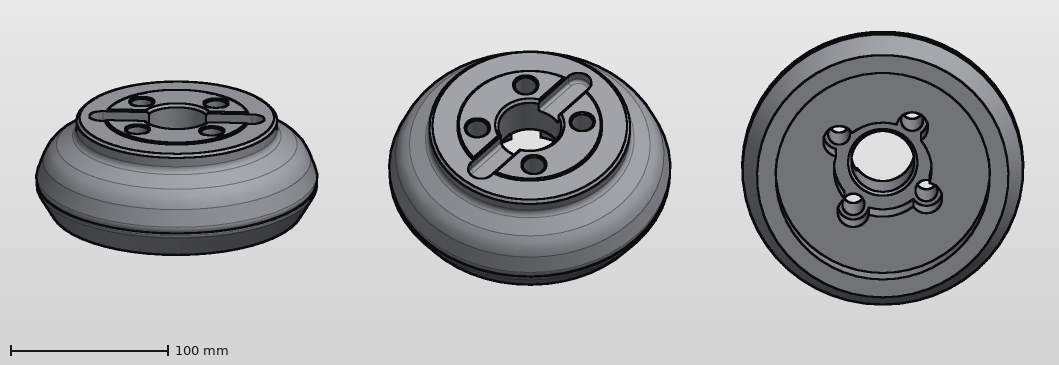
import cadquery as cq
import math


top_z = 63.0
shoulder_z = 62.0
pad_radius = 46.0
pad_chamfer = top_z - shoulder_z
neck_radius = 127.5 / 2
neck_chamfer = 2.0
neck_bottom_z = 53.9
neck_fillet = 5.0
flare_slope = math.radians(30)
shoulder_round = 20.0
side_slope = math.radians(20)
nose_radius = 5.0
nose_z = 21.0
rim_radius = 178.65 / 2

seam_z = 18.3
spigot_radius = 68.0
spigot_bottom_z = 15.5

ring_radius = 89.1
crown_radius = 2.6
crown_z = 16.5
crown_slope = math.radians(11)
ring_taper = math.radians(30)
ring_chamfer = 0.5

bore_radius = 20.0
bore_chamfer = 2.0
recess_radius = 31.0
recess_roof_z = 33.2

bolt_count = 4
bolt_circle_radius = 33.4
bolt_hole_radius = 14.0 / 2
bolt_hole_chamfer = 1.0
bolt_counterbore_radius = 20.0 / 2

slot_angle = 22.5
slot_width = 16.5
slot_end_distance = 47.4
slot_floor_z = 54.0
slot_floor_fillet = 2.0
slot_chamfer = 1.0

first_bolt_angle = slot_angle + 180 / bolt_count


def on_circle(centre, radius, angle):
    """Point on a circle in the (radius, height) plane."""
    return (centre[0] + radius * math.cos(angle), centre[1] + radius * math.sin(angle))


def revolve_profile(profile):
    """Turn a closed profile, drawn as radius and height, about the Z axis."""
    return profile.close().revolve(360, (0, 0), (0, 1))


def turn_about_axis(shape, angle):
    return shape.rotate((0, 0, 0), (0, 0, 1), angle)


def make_hub_blank():
    flare_normal = math.pi / 2 - flare_slope
    fillet_centre = (neck_radius + neck_fillet, neck_bottom_z)
    fillet_mid = on_circle(fillet_centre, neck_fillet, math.pi + flare_normal / 2)
    flare_start = on_circle(fillet_centre, neck_fillet, math.pi + flare_normal)

    nose_centre = (rim_radius - nose_radius, nose_z)
    nose_start = on_circle(nose_centre, nose_radius, side_slope)
    nose_mid = on_circle(nose_centre, nose_radius, 0)
    nose_end = on_circle(nose_centre, nose_radius, -math.asin((nose_z - seam_z) / nose_radius))

    flare_fall = math.tan(flare_slope)
    side_fall = 1 / math.tan(side_slope)
    flare_axis_z = flare_start[1] + flare_fall * flare_start[0]
    side_axis_z = nose_start[1] + side_fall * nose_start[0]
    corner_radius = (side_axis_z - flare_axis_z) / (side_fall - flare_fall)
    corner_z = flare_axis_z - flare_fall * corner_radius
    tangent_length = shoulder_round * math.tan((flare_normal - side_slope) / 2)
    round_start = on_circle((corner_radius, corner_z), tangent_length, math.pi - flare_slope)
    round_centre = on_circle(round_start, -shoulder_round, flare_normal)
    round_mid = on_circle(round_centre, shoulder_round, (flare_normal + side_slope) / 2)
    round_end = on_circle(round_centre, shoulder_round, side_slope)

    return revolve_profile(
        cq.Workplane("XZ")
        .moveTo(0, spigot_bottom_z)
        .lineTo(0, top_z)
        .lineTo(pad_radius - pad_chamfer, top_z)
        .lineTo(pad_radius, shoulder_z)
        .lineTo(neck_radius - neck_chamfer, shoulder_z)
        .lineTo(neck_radius, shoulder_z - neck_chamfer)
        .lineTo(neck_radius, neck_bottom_z)
        .threePointArc(fillet_mid, flare_start)
        .lineTo(*round_start)
        .threePointArc(round_mid, round_end)
        .lineTo(*nose_start)
        .threePointArc(nose_mid, nose_end)
        .lineTo(spigot_radius, seam_z)
        .lineTo(spigot_radius, spigot_bottom_z)
    )


def make_bore_cutter():
    return revolve_profile(
        cq.Workplane("XZ")
        .moveTo(0, spigot_bottom_z)
        .lineTo(recess_radius, spigot_bottom_z)
        .lineTo(recess_radius, recess_roof_z)
        .lineTo(bore_radius + bore_chamfer, recess_roof_z)
        .lineTo(bore_radius, recess_roof_z + bore_chamfer)
        .lineTo(bore_radius, top_z - bore_chamfer)
        .lineTo(bore_radius + bore_chamfer, top_z)
        .lineTo(0, top_z)
    )


def make_bolt_cutter(angle):
    """Chamfered bolt hole, counterbored from below up to the roof of the recess."""
    cutter = revolve_profile(
        cq.Workplane("XZ")
        .moveTo(0, spigot_bottom_z)
        .lineTo(bolt_counterbore_radius, spigot_bottom_z)
        .lineTo(bolt_counterbore_radius, recess_roof_z)
        .lineTo(bolt_hole_radius, recess_roof_z)
        .lineTo(bolt_hole_radius, top_z - bolt_hole_chamfer)
        .lineTo(bolt_hole_radius + bolt_hole_chamfer, top_z)
        .lineTo(0, top_z)
    )
    return turn_about_axis(cutter.translate((bolt_circle_radius, 0, 0)), angle)


def make_slot_cutter():
    """Round-ended slot across the top, filleted at the floor and chamfered along its mouth."""
    slot = (
        cq.Workplane("XY", origin=(0, 0, slot_floor_z))
        .slot2D(2 * slot_end_distance + slot_width, slot_width)
        .extrude(top_z - slot_floor_z)
        .faces("<Z")
        .edges()
        .fillet(slot_floor_fillet)
    )
    half_width = slot_width / 2
    chamfered_mouth = (
        cq.Workplane("YZ")
        .moveTo(-half_width, top_z - slot_chamfer)
        .lineTo(half_width, top_z - slot_chamfer)
        .lineTo(half_width + slot_chamfer, top_z)
        .lineTo(-half_width - slot_chamfer, top_z)
        .close()
        .extrude(slot_end_distance, both=True)
    )
    return turn_about_axis(slot.union(chamfered_mouth), slot_angle)


def make_hub():
    hub = make_hub_blank().cut(make_bore_cutter()).cut(make_slot_cutter())
    for index in range(bolt_count):
        hub = hub.cut(make_bolt_cutter(first_bolt_angle + index * 360 / bolt_count))
    return hub.solids()


def make_ring():
    crown_centre = (ring_radius - crown_radius, crown_z)
    crown_top = on_circle(crown_centre, crown_radius, crown_slope)
    crown_mid = on_circle(crown_centre, crown_radius, 0)
    crown_bottom = on_circle(crown_centre, crown_radius, -ring_taper)
    seam_radius = crown_top[0] - (seam_z - crown_top[1]) * math.tan(crown_slope)
    toe_radius = crown_bottom[0] - (crown_bottom[1] - ring_chamfer) * math.tan(ring_taper)
    return revolve_profile(
        cq.Workplane("XZ")
        .moveTo(spigot_radius, 0)
        .lineTo(spigot_radius, seam_z)
        .lineTo(seam_radius, seam_z)
        .lineTo(*crown_top)
        .threePointArc(crown_mid, crown_bottom)
        .lineTo(toe_radius, ring_chamfer)
        .lineTo(toe_radius - ring_chamfer, 0)
    )


hub = make_hub()
ring = make_ring()
result = cq.Compound.makeCompound([hub.val(), ring.val()])